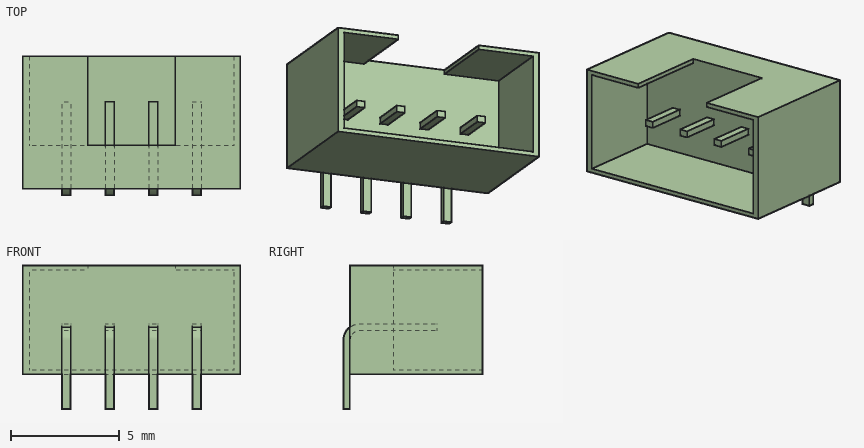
import cadquery as cq

housing_width = 10.0
housing_depth = 6.1
housing_height = 5.0
side_wall = 0.3
top_wall = 0.2
floor_thickness = top_wall
back_wall = 2.0
notch_width = 4.0

pin_count = 4
pin_pitch = 2.0
pin_width = 0.4
pin_thickness = 0.3
pin_top = 2.32
pin_bottom = -1.6
pin_tip_y = 4.0
bend_inner_radius = 0.45
bend_outer_radius = bend_inner_radius + pin_thickness


def make_pin(center_x):
    """One bent pin whose leg lies against the front face of the housing (y = 0)."""
    leg_front = -pin_thickness
    bend_end_y = bend_inner_radius
    bend_start_z = pin_top - bend_outer_radius
    return (
        cq.Workplane("YZ", origin=(center_x - pin_width / 2, 0, 0))
        .moveTo(leg_front, pin_bottom)
        .lineTo(leg_front, bend_start_z)
        .radiusArc((bend_end_y, pin_top), bend_outer_radius)
        .lineTo(pin_tip_y, pin_top)
        .lineTo(pin_tip_y, pin_top - pin_thickness)
        .lineTo(bend_end_y, pin_top - pin_thickness)
        .radiusArc((0, bend_start_z), -bend_inner_radius)
        .lineTo(0, pin_bottom)
        .close()
        .extrude(pin_width)
    )


def make_housing(pins):
    """Housing with its cavity, top notch and a matching passage for each pin."""
    cavity_depth = housing_depth - back_wall
    block = cq.Workplane("XY").box(
        housing_width, housing_depth, housing_height, centered=(True, False, False)
    )
    cavity = cq.Workplane("XY", origin=(0, back_wall, floor_thickness)).box(
        housing_width - 2 * side_wall,
        cavity_depth,
        housing_height - floor_thickness - top_wall,
        centered=(True, False, False),
    )
    notch = cq.Workplane("XY", origin=(0, back_wall, housing_height - top_wall)).box(
        notch_width, cavity_depth, top_wall, centered=(True, False, False)
    )
    body = block.cut(cavity).cut(notch)
    for pin in pins:
        body = body.cut(pin)
    return body


first_pin_x = -pin_pitch * (pin_count - 1) / 2
pins = [make_pin(first_pin_x + i * pin_pitch) for i in range(pin_count)]
housing = make_housing(pins)

result = cq.Compound.makeCompound([housing.val(), *[pin.val() for pin in pins]])